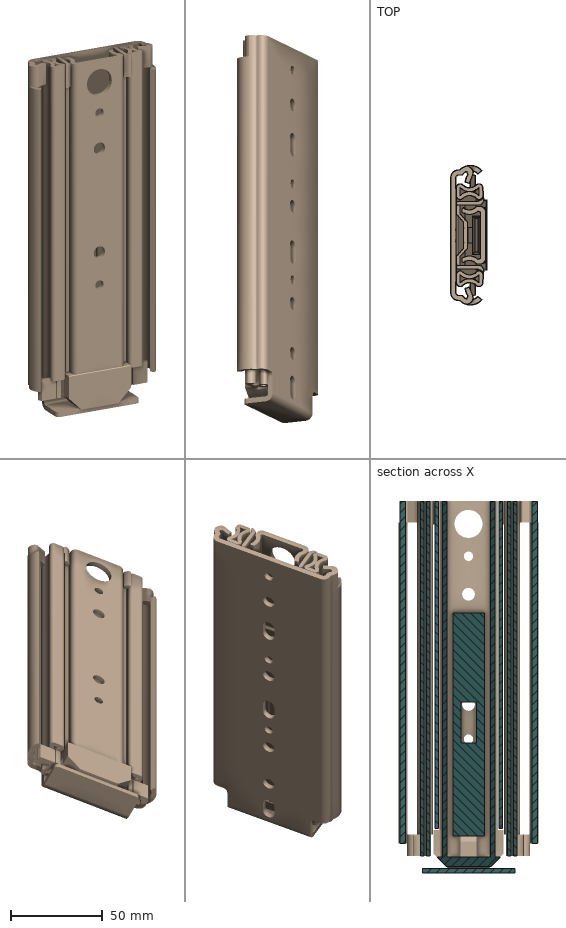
import cadquery as cq
import math


LENGTH = 203.2
SHEET = 2.8
BEND_RADIUS = 4.3
BEND_INSIDE = BEND_RADIUS - SHEET

OUTER_HALF_HEIGHT = 38.1
OUTER_BOTTOM = 16.0
RACE_X = 10.8
RACE_RADIUS = 8.1
RACE_Y = OUTER_HALF_HEIGHT - RACE_RADIUS
RACE_END_ANGLE = 40
FLANGE_Y = 35.66
OUTER_HOOK_LENGTH = 11.8
HOOK_START_X = 8.5
TONGUE_HALF_WIDTH = 25.5
TONGUE_REACH = 17.9
TONGUE_CORNER = 2.2
TONGUE_ROOT_FILLET = 2.5

MID_SHEET = 2.13
MID_BOTTOM = 9.3
SPOOL_LEFT = 3.0
SPOOL_RIGHT = 17.58
SPOOL_X = (SPOOL_LEFT + SPOOL_RIGHT) / 2
SPOOL_Y = 23.8
SPOOL_GROOVE = 5.0
GROOVE_OFFSET = SPOOL_GROOVE + MID_SHEET
LOBE_X = SPOOL_X - SPOOL_LEFT - MID_SHEET
LOBE_Y = GROOVE_OFFSET - math.sqrt(GROOVE_OFFSET ** 2 - LOBE_X ** 2)
LOBE_MEET_Y = LOBE_Y + MID_SHEET * (GROOVE_OFFSET - LOBE_Y) / GROOVE_OFFSET
MID_WEB_LEFT = 7.1
MID_WEB_HALF = 7.1
MID_STRIP_END = 11.5
MID_WEB_BOTTOM = 20.3
MID_WEB_TOP = 142.2
MID_WINDOW_LOW = 71.3
MID_WINDOW_HIGH = 93.3
MID_WINDOW_WIDTH = 8.1
MID_HOOK_LENGTH = OUTER_HOOK_LENGTH
MID_HOOK_RIGHT = 13.5

RETAINER_BOTTOM = 24.4
RETAINER_HEAD_BOTTOM = 190.2
RETAINER_LEFT = SPOOL_LEFT + MID_SHEET
RETAINER_RIGHT = 15.0
RETAINER_INSIDE_Y = 16.5
RETAINER_OUTSIDE_Y = 18.5

INNER_FACE = 19.0
INNER_BACK = INNER_FACE - SHEET
INNER_WEB_HALF = 12.5
INNER_RIM_Y = 15.75
INNER_RACE_X = 10.2
INNER_RACE_Y = 18.9
INNER_RACE_RADIUS = 5.0
INNER_SHEET = 2.5
STOP_LEFT = 7.7
STOP_RIGHT = 19.7
STOP_HALF = 19.0
STOP_BOTTOM = 2.8
STOP_TOP = 23.5
STOP_FLOOR = 9.1
STOP_TAPER_TOP = 10.5
STOP_TAPER_DEPTH = 7.7
STOP_CORNER = 1.5
STOP_LIP_CHAMFER = 0.5
STOP_SIDE_LEFT = 13.8
STOP_CAVITY_HALF = 15.2
RECESS_LEFT = 11.8
RECESS_HALF = 10.5
RECESS_WALL = 1.5
RECESS_DEPTH = 4.0
LUG_LEFT = 8.5
LUG_HALF = 4.3
LUG_TOP = 20.0
LUG_CHAMFER_HEIGHT = 2.6
LUG_CHAMFER_DEPTH = 0.8

SMALL_HOLE = 5.0
LARGE_HOLE = 7.0
SLOT_LENGTH = 13.0
OUTER_SMALL_HOLES = [190.5, 127.0, 73.2]
OUTER_LARGE_HOLES = [171.3, 114.5, 60.0, 32.0]
OUTER_SLOTS = [149.0, 88.8, 12.8]
INNER_SMALL_HOLES = [173.0, 73.2]
INNER_LARGE_HOLES = [152.2, 92.0]
INNER_ACCESS_HOLE = 15.2
INNER_ACCESS_Z = OUTER_SMALL_HOLES[0]


def on_circle(x, y, radius, degrees):
    """Point on a circle around (x, y)."""
    angle = math.radians(degrees)
    return (x + radius * math.cos(angle), y + radius * math.sin(angle))


def circle_left_x(x, y, radius, height):
    """X of the left crossing of a circle with the line Y = height."""
    return x - math.sqrt(radius ** 2 - (height - y) ** 2)


def block(x0, x1, half_width, z0, z1):
    """Box centred on Y = 0."""
    size = (x1 - x0, 2 * half_width, z1 - z0)
    return cq.Workplane("XY").box(*size, centered=(False, True, False)).translate((x0, 0, z0))


def at(z):
    return cq.Workplane("XY", origin=(0, 0, z))


def both_edges(half):
    """The given shape and its mirror image at -Y, joined."""
    return half.union(half.mirror("XZ"))


def x_drill(z_list, diameter):
    """Cylinders along X through every rail."""
    points = [(0, z) for z in z_list]
    return cq.Workplane("YZ").pushPoints(points).circle(diameter / 2).extrude(STOP_RIGHT)


def x_slots(z_list):
    points = [(0, z) for z in z_list]
    slot = cq.Workplane("YZ").pushPoints(points).slot2D(SLOT_LENGTH, LARGE_HOLE, 90)
    return slot.extrude(SHEET)


def outer_edge():
    """Half web, bent flange and ball raceway."""
    inside = RACE_RADIUS - SHEET
    flange_inside = FLANGE_Y - SHEET
    bend_y = FLANGE_Y - BEND_RADIUS
    outer_start = (circle_left_x(RACE_X, RACE_Y, RACE_RADIUS, FLANGE_Y), FLANGE_Y)
    inner_start = (circle_left_x(RACE_X, RACE_Y, inside, flange_inside), flange_inside)
    return (
        at(OUTER_BOTTOM)
        .moveTo(0, 0)
        .lineTo(0, bend_y)
        .threePointArc(on_circle(BEND_RADIUS, bend_y, BEND_RADIUS, 135), (BEND_RADIUS, FLANGE_Y))
        .lineTo(*outer_start)
        .threePointArc((RACE_X, OUTER_HALF_HEIGHT), on_circle(RACE_X, RACE_Y, RACE_RADIUS, RACE_END_ANGLE))
        .lineTo(*on_circle(RACE_X, RACE_Y, inside, RACE_END_ANGLE))
        .threePointArc((RACE_X, RACE_Y + inside), inner_start)
        .lineTo(BEND_RADIUS, flange_inside)
        .threePointArc(on_circle(BEND_RADIUS, bend_y, BEND_INSIDE, 135), (SHEET, bend_y))
        .lineTo(SHEET, 0)
        .close()
        .extrude(LENGTH - OUTER_BOTTOM)
    )


def outer_hook():
    """Raceway lip bent down towards the middle rail at the top end."""
    inside = RACE_RADIUS - SHEET
    rise = math.sqrt(RACE_RADIUS ** 2 - (RACE_X - HOOK_START_X) ** 2)
    rise_inside = math.sqrt(inside ** 2 - (RACE_X - HOOK_START_X) ** 2)
    return (
        at(LENGTH - OUTER_HOOK_LENGTH)
        .moveTo(HOOK_START_X, RACE_Y + rise)
        .threePointArc((11.2, 36.5), (12.4, 34.1))
        .lineTo(10.2, 28.2)
        .lineTo(7.7, 29.0)
        .lineTo(9.3, 33.3)
        .lineTo(HOOK_START_X, RACE_Y + rise_inside)
        .close()
        .extrude(OUTER_HOOK_LENGTH)
    )


def outer_tongue():
    """Lower part of the web, bent to +X at the bottom."""
    width = 2 * TONGUE_HALF_WIDTH
    tongue = (
        cq.Workplane("XZ", origin=(0, TONGUE_HALF_WIDTH, 0))
        .moveTo(0, OUTER_BOTTOM)
        .lineTo(0, BEND_RADIUS)
        .threePointArc(on_circle(BEND_RADIUS, BEND_RADIUS, BEND_RADIUS, 225), (BEND_RADIUS, 0))
        .lineTo(TONGUE_REACH, 0)
        .lineTo(TONGUE_REACH, SHEET)
        .lineTo(BEND_RADIUS, SHEET)
        .threePointArc(on_circle(BEND_RADIUS, BEND_RADIUS, BEND_INSIDE, 225), (SHEET, BEND_RADIUS))
        .lineTo(SHEET, OUTER_BOTTOM)
        .close()
        .extrude(width)
    )
    return tongue.edges("|Z and >X").fillet(TONGUE_CORNER)


def tongue_root():
    """Concave fillet between the tongue side and the lower end of the web."""
    radius = TONGUE_ROOT_FILLET
    side = TONGUE_HALF_WIDTH
    centre = (side + radius, OUTER_BOTTOM - radius)
    return (
        cq.Workplane("YZ")
        .moveTo(side, OUTER_BOTTOM)
        .lineTo(side, OUTER_BOTTOM - radius)
        .threePointArc(on_circle(*centre, radius, 135), (side + radius, OUTER_BOTTOM))
        .close()
        .extrude(SHEET)
    )


def make_outer_rail():
    notch = (
        at(LENGTH - OUTER_HOOK_LENGTH)
        .moveTo(HOOK_START_X, RACE_Y)
        .rect(RACE_RADIUS * 2, RACE_RADIUS * 2, centered=False)
        .extrude(OUTER_HOOK_LENGTH)
    )
    edge = outer_edge().cut(notch).union(outer_hook()).union(tongue_root())
    rail = both_edges(edge).union(outer_tongue())
    rail = rail.cut(x_drill(OUTER_SMALL_HOLES, SMALL_HOLE))
    rail = rail.cut(x_drill(OUTER_LARGE_HOLES, LARGE_HOLE))
    return rail.cut(x_slots(OUTER_SLOTS))


def spool_bar(half_width, half_height):
    """Full-length bar centred on the spool."""
    centre = at(MID_BOTTOM).center(SPOOL_X, SPOOL_Y)
    return centre.rect(2 * half_width, 2 * half_height).extrude(LENGTH - MID_BOTTOM)


def spool_grooves(radius):
    """Two cylinders on the centres of the spool's ball raceways."""
    centres = [(SPOOL_X, SPOOL_Y + GROOVE_OFFSET), (SPOOL_X, SPOOL_Y - GROOVE_OFFSET)]
    return at(MID_BOTTOM).pushPoints(centres).circle(radius).extrude(LENGTH - MID_BOTTOM)


def spool_lobes():
    """Rounded corners of the spool."""
    corners = at(MID_BOTTOM).center(SPOOL_X, SPOOL_Y).rect(2 * LOBE_X, 2 * LOBE_Y, forConstruction=True)
    return corners.vertices().circle(MID_SHEET).extrude(LENGTH - MID_BOTTOM)


def middle_spool():
    """Two back-to-back raceways closed at the sides, with a hollow on each side."""
    hollows = spool_bar(LOBE_X, LOBE_MEET_Y).cut(spool_grooves(GROOVE_OFFSET))
    body = spool_bar(LOBE_X + MID_SHEET, LOBE_Y).union(spool_bar(LOBE_X, LOBE_MEET_Y)).union(spool_lobes())
    return body.cut(spool_grooves(SPOOL_GROOVE)).cut(hollows)


def middle_web():
    """Half web with the sloped step and the strip that carries the spool."""
    strip_right = SPOOL_LEFT + MID_SHEET
    web_right = MID_WEB_LEFT + MID_SHEET
    outline = [
        (MID_WEB_LEFT, 0), (MID_WEB_LEFT, MID_WEB_HALF), (SPOOL_LEFT, MID_STRIP_END),
        (SPOOL_LEFT, SPOOL_Y), (strip_right, SPOOL_Y), (strip_right, MID_STRIP_END),
        (web_right, MID_WEB_HALF), (web_right, 0),
    ]
    return at(MID_WEB_BOTTOM).polyline(outline).close().extrude(MID_WEB_TOP - MID_WEB_BOTTOM)


def middle_hook():
    """Stop bent outwards from the raceway at the bottom end."""
    return (
        at(MID_BOTTOM)
        .moveTo(MID_HOOK_RIGHT, SPOOL_Y)
        .lineTo(MID_HOOK_RIGHT, 32.5)
        .lineTo(11.4, 33.5)
        .threePointArc((9.1, 32.5), (8.1, 30.3))
        .lineTo(10.5, 29.7)
        .lineTo(10.5, SPOOL_Y)
        .close()
        .extrude(MID_HOOK_LENGTH)
    )


def make_middle_rail():
    notch = (
        at(MID_BOTTOM)
        .moveTo(MID_HOOK_RIGHT, 0)
        .rect(SPOOL_RIGHT, OUTER_HALF_HEIGHT, centered=False)
        .extrude(MID_HOOK_LENGTH)
    )
    edge = middle_spool().cut(notch).union(middle_hook()).union(middle_web())
    window = block(
        MID_WEB_LEFT, MID_WEB_LEFT + MID_SHEET, MID_WINDOW_WIDTH / 2, MID_WINDOW_LOW, MID_WINDOW_HIGH
    )
    return both_edges(edge).cut(window)


def retainer_strip():
    width = RETAINER_RIGHT - RETAINER_LEFT
    thickness = RETAINER_OUTSIDE_Y - RETAINER_INSIDE_Y
    corner = at(RETAINER_BOTTOM).moveTo(RETAINER_LEFT, RETAINER_INSIDE_Y)
    return corner.rect(width, thickness, centered=False).extrude(LENGTH - RETAINER_BOTTOM)


def retainer_head():
    """Wider top end with a rounded left edge and a flared lip on the right."""
    left_radius = (RETAINER_OUTSIDE_Y - RETAINER_INSIDE_Y) / 2
    left_centre = SPOOL_LEFT + left_radius
    return (
        at(RETAINER_HEAD_BOTTOM)
        .moveTo(left_centre, RETAINER_OUTSIDE_Y)
        .threePointArc((SPOOL_LEFT, RETAINER_INSIDE_Y + left_radius), (left_centre, RETAINER_INSIDE_Y))
        .lineTo(16.5, RETAINER_INSIDE_Y)
        .lineTo(18.0, 18.5)
        .lineTo(18.0, 20.0)
        .lineTo(17.5, 20.0)
        .lineTo(RETAINER_RIGHT, RETAINER_OUTSIDE_Y)
        .close()
        .extrude(LENGTH - RETAINER_HEAD_BOTTOM)
    )


def make_retainers():
    """Two separate strips through the inner ball tracks."""
    strip = retainer_strip().union(retainer_head())
    return [strip, strip.mirror("XZ")]


def inner_edge():
    """Half web and rolled edge that forms the inner ball raceway."""
    back_radius = INNER_RACE_RADIUS + INNER_SHEET
    rim_centre_x = INNER_FACE - (INNER_RIM_Y - INNER_WEB_HALF)
    rim_radius = INNER_RIM_Y - INNER_WEB_HALF
    return (
        at(STOP_FLOOR)
        .moveTo(INNER_FACE, 0)
        .lineTo(INNER_FACE, INNER_WEB_HALF)
        .threePointArc(on_circle(rim_centre_x, INNER_WEB_HALF, rim_radius, 45), (rim_centre_x, INNER_RIM_Y))
        .lineTo(*on_circle(INNER_RACE_X, INNER_RACE_Y, INNER_RACE_RADIUS, -40))
        .threePointArc(
            (INNER_RACE_X, INNER_RACE_Y - INNER_RACE_RADIUS),
            on_circle(INNER_RACE_X, INNER_RACE_Y, INNER_RACE_RADIUS, -130),
        )
        .lineTo(6.3, 14.5)
        .lineTo(*on_circle(INNER_RACE_X, INNER_RACE_Y, back_radius, -122))
        .threePointArc(
            (INNER_RACE_X, INNER_RACE_Y - back_radius),
            on_circle(INNER_RACE_X, INNER_RACE_Y, back_radius, -50),
        )
        .lineTo(INNER_BACK, INNER_WEB_HALF)
        .lineTo(INNER_BACK, 0)
        .close()
        .extrude(LENGTH - STOP_FLOOR)
    )


def end_stop():
    """Tapered block below the inner rail with side cheeks and a thin lip over the web."""
    body = block(STOP_LEFT, STOP_RIGHT, STOP_HALF, STOP_BOTTOM, STOP_TOP)
    body = body.edges("|Y and <X and <Z").fillet(STOP_CORNER)
    body = body.edges("|Y and >X and >Z").chamfer(STOP_LIP_CHAMFER)
    taper = (
        cq.Workplane("YZ")
        .polyline([
            (STOP_HALF, STOP_TAPER_TOP), (STOP_HALF, STOP_BOTTOM),
            (STOP_HALF - STOP_TAPER_DEPTH, STOP_BOTTOM),
        ])
        .close()
        .extrude(STOP_RIGHT)
    )
    body = body.cut(both_edges(taper))
    body = body.cut(block(STOP_LEFT, STOP_SIDE_LEFT, STOP_HALF, STOP_FLOOR, STOP_TOP))
    body = body.cut(block(STOP_LEFT, INNER_FACE, STOP_CAVITY_HALF, STOP_FLOOR, STOP_TOP))
    lug = block(LUG_LEFT, RECESS_LEFT, LUG_HALF, STOP_FLOOR, LUG_TOP)
    chamfer = (
        cq.Workplane("XZ", origin=(0, LUG_HALF, 0))
        .polyline([
            (LUG_LEFT, LUG_TOP), (LUG_LEFT, LUG_TOP - LUG_CHAMFER_HEIGHT),
            (LUG_LEFT + LUG_CHAMFER_DEPTH, LUG_TOP),
        ])
        .close()
        .extrude(2 * LUG_HALF)
    )
    return body.union(lug.cut(chamfer))


def stop_recess():
    """Recess with sloped walls in the top of the end stop."""
    width = INNER_BACK - RECESS_LEFT
    return (
        at(STOP_FLOOR)
        .center(RECESS_LEFT + width / 2, 0)
        .rect(width, 2 * RECESS_HALF)
        .workplane(offset=-RECESS_DEPTH)
        .rect(width - 2 * RECESS_WALL, 2 * (RECESS_HALF - RECESS_WALL))
        .loft()
    )


def make_inner_rail():
    rail = both_edges(inner_edge())
    rail = rail.cut(x_drill(INNER_SMALL_HOLES, SMALL_HOLE))
    rail = rail.cut(x_drill(INNER_LARGE_HOLES, LARGE_HOLE))
    rail = rail.cut(x_drill([INNER_ACCESS_Z], INNER_ACCESS_HOLE))
    return rail.union(end_stop().cut(stop_recess()))


outer_rail = make_outer_rail()
middle_rail = make_middle_rail()
inner_rail = make_inner_rail()
retainers = make_retainers()

result = cq.Compound.makeCompound([
    outer_rail.val(),
    middle_rail.val(),
    inner_rail.val(),
    *[strip.val() for strip in retainers],
])